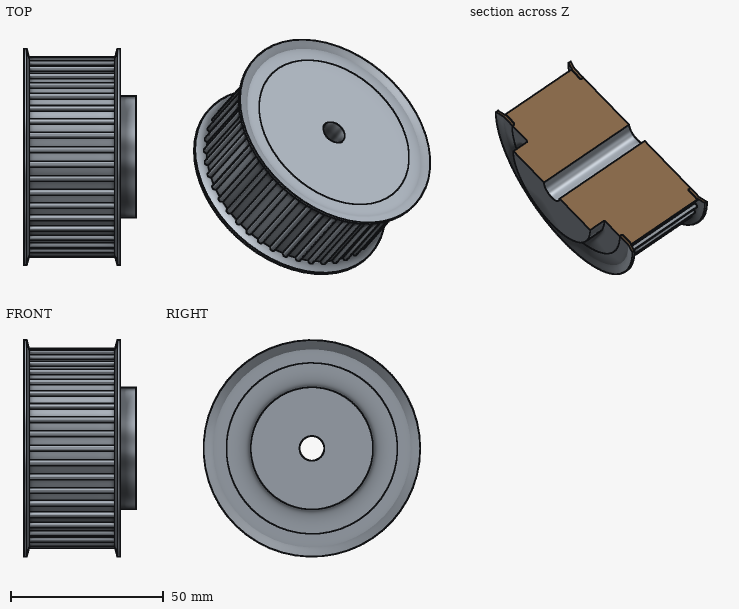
import cadquery as cq
import math


TOOTH_COUNT = 42
TIP_RADIUS = 32.8
TOOTH_HEIGHT = 1.1
ROOT_RADIUS = TIP_RADIUS - TOOTH_HEIGHT
FLANK_ANGLE = math.radians(20.0)
TIP_ROUND = 0.5
TOOTH_EMBED = 0.5
TIP_FLAT_HALF = 0.25

FLANGE_RADIUS = 35.5
FLANGE_BEND_RADIUS = 32.4
FLANGE_THICKNESS = 1.0
FLANGE_FLARE = 0.8

FLANGE_SPAN = 31.6
TOTAL_LENGTH = 36.8
SHOULDER_RADIUS = 28.0
HUB_RADIUS = 20.0
BORE_RADIUS = 4.0

SHOULDER_START = FLANGE_FLARE
TEETH_START = FLANGE_FLARE + FLANGE_THICKNESS
SHOULDER_END = FLANGE_SPAN - SHOULDER_START
TEETH_END = FLANGE_SPAN - TEETH_START


def disc(radius, start, end):
    """Round disc on the X axis between two X positions."""
    return cq.Workplane("YZ").workplane(offset=start).circle(radius).extrude(end - start)


def make_tooth():
    """Tooth pointing along +Y, with straight flanks and a rounded tip."""
    round_centre = TIP_RADIUS - TIP_ROUND
    mid_angle = (math.pi / 2 + FLANK_ANGLE) / 2

    def on_round(angle):
        return (round_centre + TIP_ROUND * math.sin(angle), TIP_FLAT_HALF + TIP_ROUND * math.cos(angle))

    flank_top = on_round(FLANK_ANGLE)
    round_mid = on_round(mid_angle)
    flat_end = on_round(math.pi / 2)
    foot_radius = ROOT_RADIUS - TOOTH_EMBED
    foot = (foot_radius, flank_top[1] + (flank_top[0] - foot_radius) * math.tan(FLANK_ANGLE))

    def mirrored(point):
        return (point[0], -point[1])

    return (
        cq.Workplane("YZ")
        .workplane(offset=TEETH_START)
        .moveTo(*mirrored(foot))
        .lineTo(*mirrored(flank_top))
        .threePointArc(mirrored(round_mid), mirrored(flat_end))
        .lineTo(*flat_end)
        .threePointArc(round_mid, flank_top)
        .lineTo(*foot)
        .close()
        .extrude(TEETH_END - TEETH_START)
    )


def make_pulley():
    """Toothed rim, a shoulder for each flange, the hub and the through bore."""
    pulley = disc(ROOT_RADIUS, TEETH_START, TEETH_END)
    tooth = make_tooth()
    for index in range(TOOTH_COUNT):
        angle = 360.0 * index / TOOTH_COUNT
        pulley = pulley.union(tooth.rotate((0, 0, 0), (1, 0, 0), angle))
    pulley = pulley.union(disc(SHOULDER_RADIUS, SHOULDER_START, SHOULDER_END))
    pulley = pulley.union(disc(HUB_RADIUS, SHOULDER_END, TOTAL_LENGTH))
    return pulley.cut(disc(BORE_RADIUS, 0, TOTAL_LENGTH))


def make_flange(outer_edge, inward):
    """Dished ring; outer_edge is the X of its rim, inward is the X direction toward the teeth."""
    section = [
        (FLANGE_FLARE, SHOULDER_RADIUS),
        (FLANGE_FLARE, FLANGE_BEND_RADIUS),
        (0, FLANGE_RADIUS),
        (FLANGE_THICKNESS, FLANGE_RADIUS),
        (TEETH_START, FLANGE_BEND_RADIUS),
        (TEETH_START, SHOULDER_RADIUS),
    ]
    points = [(outer_edge + inward * depth, radius) for depth, radius in section]
    return cq.Workplane("XY").polyline(points).close().revolve(360, (0, 0, 0), (1, 0, 0))


pulley = make_pulley()
flanges = [make_flange(0, 1), make_flange(FLANGE_SPAN, -1)]

result = cq.Compound.makeCompound([pulley.val()] + [flange.val() for flange in flanges])